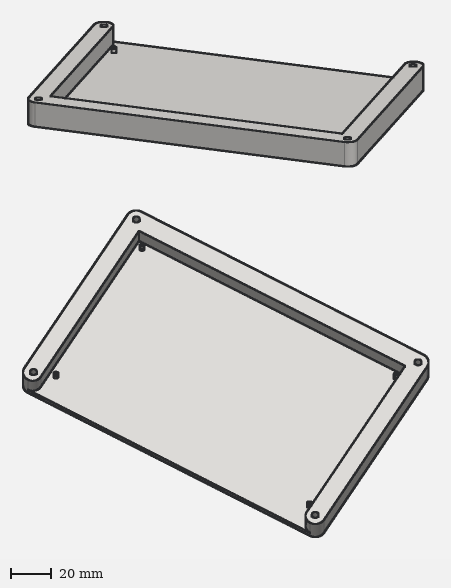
import cadquery as cq

length = 170.0
width = 110.0
height = 13.0
corner_radius = 5.0
floor_thickness = 3.0

side_rim = 9.5
front_rim = 10.0
rim_end_radius = 4.6

mount_hole_diameter = 3.4
mount_hole_inset = 5.1
mount_hole_x = length / 2 - mount_hole_inset
mount_hole_y = width / 2 - mount_hole_inset

pin_diameter = 2.5
pin_height = 3.0
pin_chamfer = 0.8
pin_x = 72.0
pin_y = 42.0
right_back_pin_y = 41.5


def make_body():
    """Rounded rectangular block sitting on Z = 0."""
    block = cq.Workplane("XY").box(length, width, height, centered=(True, True, False))
    return block.edges("|Z").fillet(corner_radius)


def make_pocket():
    """Open-ended recess that flares around the rounded ends of the side rims."""
    half_opening = length / 2 - side_rim
    front = -width / 2 + front_rim
    back = width / 2
    arc_start = back - rim_end_radius
    flared = half_opening + rim_end_radius
    return (
        cq.Workplane("XY")
        .workplane(offset=floor_thickness)
        .moveTo(-half_opening, front)
        .lineTo(half_opening, front)
        .lineTo(half_opening, arc_start)
        .radiusArc((flared, back), rim_end_radius)
        .lineTo(-flared, back)
        .radiusArc((-half_opening, arc_start), rim_end_radius)
        .close()
        .extrude(height - floor_thickness)
    )


def make_mount_holes():
    """Four cylinders that pass through the whole height."""
    return (
        cq.Workplane("XY")
        .rect(2 * mount_hole_x, 2 * mount_hole_y, forConstruction=True)
        .vertices()
        .circle(mount_hole_diameter / 2)
        .extrude(height)
    )


def make_pins():
    """Four pins with tapered tips, starting at the underside so that they merge with the floor."""
    centres = [
        (-pin_x, -pin_y),
        (pin_x, -pin_y),
        (-pin_x, pin_y),
        (pin_x, right_back_pin_y),
    ]
    return (
        cq.Workplane("XY")
        .pushPoints(centres)
        .circle(pin_diameter / 2)
        .extrude(floor_thickness + pin_height)
        .faces(">Z")
        .chamfer(pin_chamfer)
    )


result = make_body().cut(make_pocket()).cut(make_mount_holes()).union(make_pins())